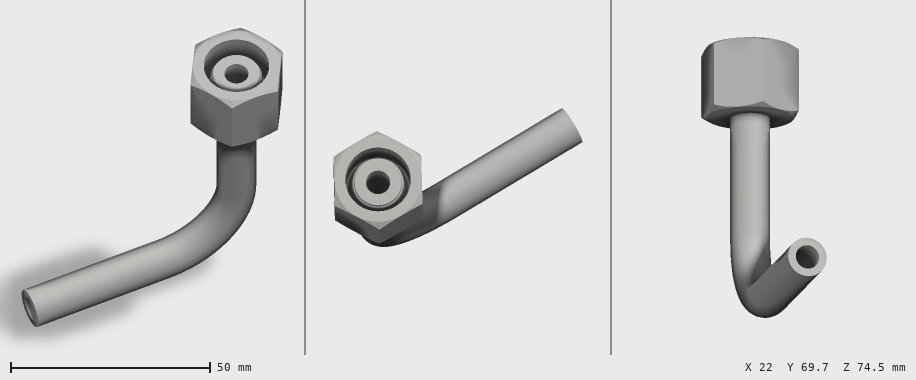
import cadquery as cq
import math

total_height = 74.5
total_depth = 69.7

tube_diameter = 10.0
tube_bore = 6.0
bend_radius = 20.0

nut_flats = 22.0
nut_height = 18.0
nut_bore = 16.4
chamfer_circle = 21.8
chamfer_angle = 30.0

cone_tip_diameter = 11.8
cone_base_diameter = 15.1
cone_half_angle = 12.0
cone_recess = 3.35

ring_center_radius = 5.7
ring_section_radius = 0.75
ring_depth = 1.35

nut_corners = nut_flats / math.cos(math.pi / 6)
nut_bottom = total_height - nut_height
tube_axis_height = tube_diameter / 2
bend_top = tube_axis_height + bend_radius
tube_end_y = nut_corners / 2 - total_depth
cone_top = total_height - cone_recess
cone_height = (cone_base_diameter - cone_tip_diameter) / 2 / math.tan(math.radians(cone_half_angle))
nut_floor = cone_top - cone_height


def swept_rod(diameter):
    """Solid round rod running down from the cone tip, around the bend and out along -Y."""
    bend_offset = bend_radius * math.sqrt(0.5)
    path = (
        cq.Workplane("YZ")
        .moveTo(0, cone_top)
        .lineTo(0, bend_top)
        .threePointArc((bend_offset - bend_radius, bend_top - bend_offset), (-bend_radius, tube_axis_height))
        .lineTo(tube_end_y, tube_axis_height)
    )
    return cq.Workplane("XY", origin=(0, 0, cone_top)).circle(diameter / 2).sweep(path)


def union_nut():
    """Hexagon with flats facing +X and -X, both ends turned to a shallow cone, bored from the top."""
    hexagon = (
        cq.Workplane("XY", origin=(0, 0, nut_bottom))
        .polygon(6, nut_corners)
        .extrude(nut_height)
        .rotate((0, 0, 0), (0, 0, 1), 30)
    )
    face_radius = chamfer_circle / 2
    corner_radius = nut_corners / 2
    corner_drop = (corner_radius - face_radius) * math.tan(math.radians(chamfer_angle))
    turned_envelope = (
        cq.Workplane("XZ")
        .moveTo(0, nut_bottom)
        .lineTo(face_radius, nut_bottom)
        .lineTo(corner_radius, nut_bottom + corner_drop)
        .lineTo(corner_radius, total_height - corner_drop)
        .lineTo(face_radius, total_height)
        .lineTo(0, total_height)
        .close()
        .revolve(360, (0, 0, 0), (0, 1, 0))
    )
    bore = cq.Workplane("XY", origin=(0, 0, nut_floor)).circle(nut_bore / 2).extrude(total_height - nut_floor)
    return hexagon.intersect(turned_envelope).cut(bore)


def sealing_cone():
    """Cone that rises from the nut floor and narrows toward its flat tip."""
    return (
        cq.Workplane("XZ")
        .moveTo(0, nut_floor)
        .lineTo(cone_base_diameter / 2, nut_floor)
        .lineTo(cone_tip_diameter / 2, cone_top)
        .lineTo(0, cone_top)
        .close()
        .revolve(360, (0, 0, 0), (0, 1, 0))
    )


def sealing_ring():
    """Round ring let into the cone just below its tip."""
    return (
        cq.Workplane("XZ")
        .center(ring_center_radius, cone_top - ring_depth)
        .circle(ring_section_radius)
        .revolve(360, (-ring_center_radius, 0, 0), (-ring_center_radius, 1, 0))
    )


nut_and_cone = union_nut().union(sealing_cone()).union(sealing_ring())
result = nut_and_cone.union(swept_rod(tube_diameter)).cut(swept_rod(tube_bore))